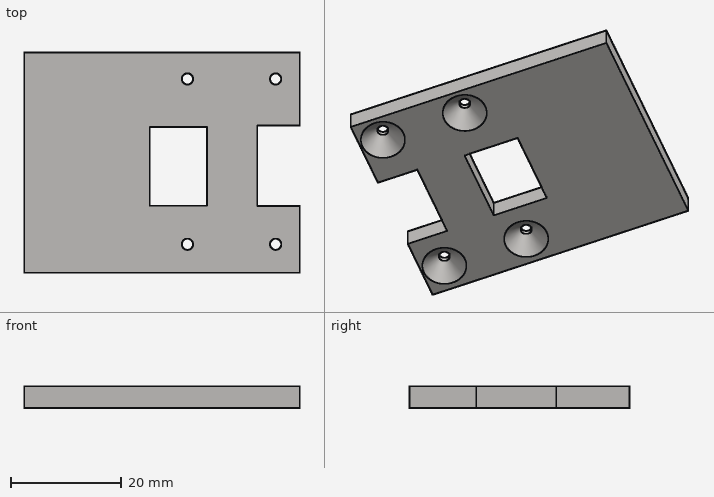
import cadquery as cq

plate_length = 50.0
plate_width = 40.0
plate_thickness = 4.0

window_left = 22.8
window_length = 10.36
window_front = 12.2
window_width = 14.25

notch_depth = 7.7
notch_front = 12.16
notch_width = 14.54

hole_diameter = 2.0
hole_spacing_x = 16.0
hole_spacing_y = 30.0
hole_first_x = 29.62
hole_first_y = 5.18
countersink_depth = 3.0
countersink_half_angle = 45.0
countersink_diameter = hole_diameter + 2 * countersink_depth


def block(left, front, length, width):
    """Full-thickness block with its lower left corner at (left, front)."""
    return (
        cq.Workplane("XY")
        .box(length, width, plate_thickness, centered=False)
        .translate((left, front, 0))
    )


def screw_hole(x, y):
    """Through hole at (x, y) that widens as a cone towards the bottom face."""
    bore = cq.Workplane("XY").circle(hole_diameter / 2).extrude(plate_thickness)
    cone = (
        cq.Workplane("XY")
        .circle(countersink_diameter / 2)
        .extrude(countersink_depth, taper=countersink_half_angle)
    )
    return bore.union(cone).translate((x, y, 0))


plate = block(0, 0, plate_length, plate_width)
window = block(window_left, window_front, window_length, window_width)
notch = block(plate_length - notch_depth, notch_front, notch_depth, notch_width)

result = plate.cut(window).cut(notch)
for hole_x in (hole_first_x, hole_first_x + hole_spacing_x):
    for hole_y in (hole_first_y, hole_first_y + hole_spacing_y):
        result = result.cut(screw_hole(hole_x, hole_y))